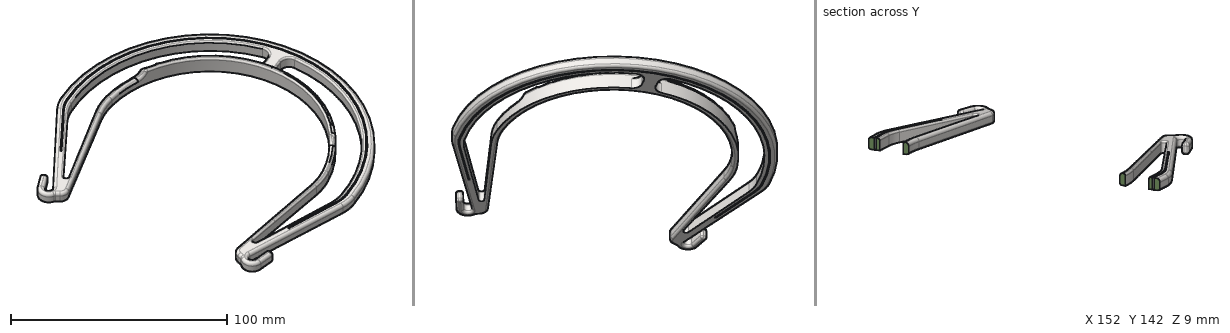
import cadquery as cq
import math

base_height = 6.0
raised_height = 9.0

outer_radius = 76.0
outer_hoop_width = 6.0
inner_hoop_outer_radius = 58.0
inner_hoop_width = 3.0
window_outer_radius = outer_radius - outer_hoop_width
inner_hoop_inner_radius = inner_hoop_outer_radius - inner_hoop_width

outer_corner_y = -7.0
outer_leg_lean = math.radians(25)
window_corner_y = -8.3
window_outer_lean = math.radians(24.3)
inner_corner_y = 0.0
window_inner_lean = math.radians(11.6)

foot_x = 43.1
foot_y = -61.2

outer_corner_round = 20.0
inner_corner_round = 35.0
foot_round = 4.2
window_tip_round = 1.35

web_half_width = 3.3
web_round = 4.5

hook_bottom_y = -66.02
hook_inner_radius = 1.9
hook_width = 3.4
finger_lean = math.radians(17)
finger_length = 8.6
finger_tip_round = 1.0
hook_notch_round = 1.5

slit_radius = 72.4
slit_width = 0.6
slit_corner_y = -7.5
slit_lean = math.radians(24.5)
slit_end_y = -36.0

ramp_top_y = 28.0
ramp_foot_y = 24.0

outer_edge_round = 1.68
window_edge_round = 0.9
bottom_edge_round = 1.3


def mirrored(point):
    return (-point[0], point[1])


def on_circle(radius, y):
    return (math.sqrt(radius**2 - y**2), y)


def down_leg(start, lean, end_y):
    """Point at height end_y on a leg face that leaves start and leans towards the Y axis."""
    return (start[0] - (start[1] - end_y) * math.tan(lean), end_y)


def crossing(start_a, lean_a, start_b, lean_b):
    """Point where two leaning leg faces meet."""
    gap = down_leg(start_a, lean_a, 0)[0] - down_leg(start_b, lean_b, 0)[0]
    return down_leg(start_a, lean_a, -gap / (math.tan(lean_a) - math.tan(lean_b)))


def nearest_edge(point, z):
    return cq.selectors.NearestToPointSelector((point[0], point[1], z))


def round_corners(solid, points, radius):
    """Round the vertical edges that stand on the given plan points."""
    for point in points:
        solid = solid.edges("|Z").edges(nearest_edge(point, base_height / 2)).fillet(radius)
    return solid


outer_corner = on_circle(outer_radius, outer_corner_y)
inner_corner = on_circle(inner_hoop_inner_radius, inner_corner_y)
foot = (foot_x, foot_y)

foot_width = (
    (outer_corner[0] - foot_x) * math.cos(outer_leg_lean)
    - (outer_corner[1] - foot_y) * math.sin(outer_leg_lean)
)
outer_foot = (
    foot_x + foot_width * math.cos(outer_leg_lean),
    foot_y - foot_width * math.sin(outer_leg_lean),
)

hook_outer_radius = hook_inner_radius + hook_width
hook_center_y = hook_bottom_y + hook_outer_radius
hook_center_x = (
    down_leg(outer_corner, outer_leg_lean, hook_center_y)[0]
    + hook_inner_radius / math.cos(outer_leg_lean)
)
bend_start_angle = -finger_lean
bend_end_angle = -math.pi - outer_leg_lean


def on_hook(radius, angle):
    return (hook_center_x + radius * math.cos(angle), hook_center_y + radius * math.sin(angle))


def finger_tip(radius):
    start = on_hook(radius, bend_start_angle)
    return (
        start[0] + finger_length * math.sin(finger_lean),
        start[1] + finger_length * math.cos(finger_lean),
    )


foot_drop = (
    (hook_center_x - foot_x) * math.sin(outer_leg_lean)
    + (hook_center_y - foot_y) * math.cos(outer_leg_lean)
)
hook_notch = on_hook(
    hook_outer_radius,
    -math.pi / 2 - outer_leg_lean - math.acos(foot_drop / hook_outer_radius),
)


def plan_blank():
    """Both hoops and both legs as one solid plate without windows or hooks."""
    plate = (
        cq.Workplane("XY")
        .moveTo(*outer_corner)
        .threePointArc((0, outer_radius), mirrored(outer_corner))
        .lineTo(*mirrored(outer_foot))
        .lineTo(*mirrored(foot))
        .lineTo(*mirrored(inner_corner))
        .threePointArc((0, inner_hoop_inner_radius), inner_corner)
        .lineTo(*foot)
        .lineTo(*outer_foot)
        .close()
        .extrude(base_height)
    )
    plate = round_corners(plate, [outer_corner, mirrored(outer_corner)], outer_corner_round)
    plate = round_corners(plate, [inner_corner, mirrored(inner_corner)], inner_corner_round)
    return round_corners(plate, [foot, mirrored(foot)], foot_round)


def hook():
    """Hook on the +X side: a straight finger and a bend that runs back into the leg."""
    middle_angle = (bend_start_angle + bend_end_angle) / 2
    bar = (
        cq.Workplane("XY")
        .moveTo(*finger_tip(hook_outer_radius))
        .lineTo(*on_hook(hook_outer_radius, bend_start_angle))
        .threePointArc(
            on_hook(hook_outer_radius, middle_angle),
            on_hook(hook_outer_radius, bend_end_angle),
        )
        .lineTo(*on_hook(hook_inner_radius, bend_end_angle))
        .threePointArc(
            on_hook(hook_inner_radius, middle_angle),
            on_hook(hook_inner_radius, bend_start_angle),
        )
        .lineTo(*finger_tip(hook_inner_radius))
        .close()
        .extrude(base_height)
    )
    tip_corners = [finger_tip(hook_outer_radius), finger_tip(hook_inner_radius)]
    return round_corners(bar, tip_corners, finger_tip_round)


def window():
    """Opening between the hoops on the +X side."""
    hoop_corner = on_circle(window_outer_radius, window_corner_y)
    inner_leg_corner = on_circle(inner_hoop_outer_radius, inner_corner_y)
    tip = crossing(hoop_corner, window_outer_lean, inner_leg_corner, window_inner_lean)
    web_top = (web_half_width, math.sqrt(window_outer_radius**2 - web_half_width**2))
    web_foot = (web_half_width, math.sqrt(inner_hoop_outer_radius**2 - web_half_width**2))
    diagonal = math.sqrt(0.5)
    outer_middle = (window_outer_radius * diagonal, window_outer_radius * diagonal)
    inner_middle = (inner_hoop_outer_radius * diagonal, inner_hoop_outer_radius * diagonal)
    opening = (
        cq.Workplane("XY")
        .moveTo(*web_top)
        .threePointArc(outer_middle, hoop_corner)
        .lineTo(*tip)
        .lineTo(*inner_leg_corner)
        .threePointArc(inner_middle, web_foot)
        .close()
        .extrude(base_height)
    )
    opening = round_corners(opening, [web_top, web_foot], web_round)
    opening = round_corners(opening, [hoop_corner], outer_corner_round)
    opening = round_corners(opening, [inner_leg_corner], inner_corner_round)
    return round_corners(opening, [tip], window_tip_round)


def base_plate():
    """Flat part with hooks and windows and all its edges rounded."""
    right_hook = hook()
    plate = plan_blank().union(right_hook).union(right_hook.mirror("YZ"))
    plate = round_corners(plate, [hook_notch, mirrored(hook_notch)], hook_notch_round)
    plate = plate.faces(">Z").edges().fillet(outer_edge_round)
    plate = plate.faces("<Z").edges().fillet(bottom_edge_round)

    right_window = window()
    plate = plate.cut(right_window).cut(right_window.mirror("YZ"))
    web_edge = (web_half_width, (window_outer_radius + inner_hoop_outer_radius) / 2)
    for point in (web_edge, mirrored(web_edge)):
        plate = plate.faces(">Z").edges(nearest_edge(point, base_height)).fillet(window_edge_round)
    return plate


def raised_hoop():
    """Taller stretch of the inner hoop, ending in a concave ramp on each side."""
    run = ramp_top_y - ramp_foot_y
    rise = raised_height - base_height
    ramp_radius = (run**2 + rise**2) / (2 * rise)
    half_angle = math.asin(run / ramp_radius) / 2
    ramp_middle = (
        ramp_foot_y + ramp_radius * math.sin(half_angle),
        base_height + ramp_radius * (1 - math.cos(half_angle)),
    )
    floor = bottom_edge_round
    side_profile = (
        cq.Workplane("YZ")
        .moveTo(ramp_foot_y, floor)
        .lineTo(ramp_foot_y, base_height)
        .threePointArc(ramp_middle, (ramp_top_y, raised_height))
        .lineTo(outer_radius, raised_height)
        .lineTo(outer_radius, floor)
        .close()
        .extrude(outer_radius, both=True)
    )
    ring = (
        cq.Workplane("XY")
        .workplane(offset=floor)
        .circle(inner_hoop_outer_radius)
        .circle(inner_hoop_inner_radius)
        .extrude(raised_height - floor)
        .intersect(side_profile)
    )
    ramp_middle_y, ramp_middle_z = ramp_middle
    for radius, rounding in (
        (inner_hoop_inner_radius, outer_edge_round),
        (inner_hoop_outer_radius, window_edge_round),
    ):
        ramp_x = on_circle(radius, ramp_middle_y)[0]
        ring = (
            ring.edges(nearest_edge((0, radius), raised_height))
            .add(ring.edges(nearest_edge((ramp_x, ramp_middle_y), ramp_middle_z)))
            .add(ring.edges(nearest_edge((-ramp_x, ramp_middle_y), ramp_middle_z)))
            .fillet(rounding)
        )
    return ring


def slit_core(radius):
    """Plate bounded by one wall of the slit and closed straight across its lower ends."""
    corner = on_circle(radius, slit_corner_y)
    end = down_leg(corner, slit_lean, slit_end_y)
    core = (
        cq.Workplane("XY")
        .moveTo(*corner)
        .threePointArc((0, radius), mirrored(corner))
        .lineTo(*mirrored(end))
        .lineTo(*end)
        .close()
        .extrude(base_height)
    )
    return round_corners(core, [corner, mirrored(corner)], outer_corner_round)


def slit():
    return slit_core(slit_radius + slit_width / 2).cut(slit_core(slit_radius - slit_width / 2))


result = base_plate().union(raised_hoop()).cut(slit())